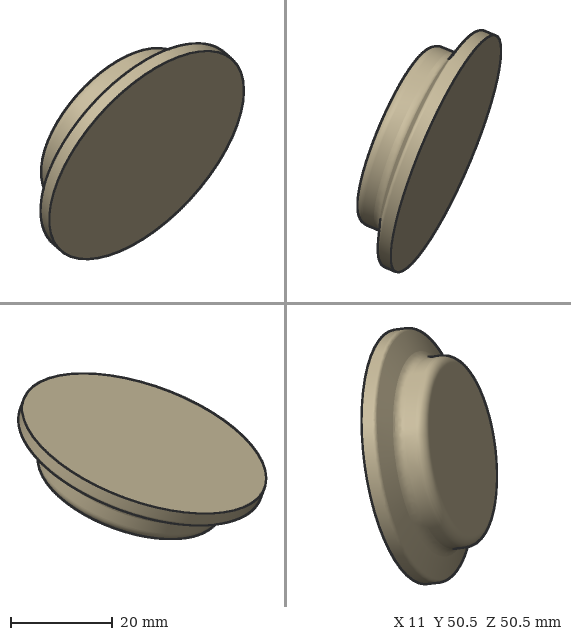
import cadquery as cq
import math

flange_diameter = 50.5
boss_diameter = 38.1
total_length = 11.0
rim_edge_length = 2.95
cone_angle = 20.0
boss_edge_radius = 2.0
boss_root_radius = 2.0
rim_edge_radius = 0.8
pick_margin = 0.05

flange_radius = flange_diameter / 2
boss_radius = boss_diameter / 2
cone_height = (flange_radius - boss_radius) * math.tan(math.radians(cone_angle))

front_x = -total_length / 2
back_x = total_length / 2
rim_corner_x = back_x - rim_edge_length
boss_root_x = rim_corner_x - cone_height

blank = (
    cq.Workplane("XY")
    .moveTo(front_x, 0)
    .lineTo(front_x, boss_radius)
    .lineTo(boss_root_x, boss_radius)
    .lineTo(rim_corner_x, flange_radius)
    .lineTo(back_x, flange_radius)
    .lineTo(back_x, 0)
    .close()
    .revolve(360, (0, 0, 0), (1, 0, 0))
)


def round_circle(body, edge_x, radius):
    """Round the circular edge whose centre lies at edge_x on the axis."""
    circle = cq.selectors.BoxSelector(
        (edge_x - pick_margin, -flange_diameter, -flange_diameter),
        (edge_x + pick_margin, flange_diameter, flange_diameter),
        boundingbox=True,
    )
    return body.edges(circle).fillet(radius)


result = round_circle(blank, front_x, boss_edge_radius)
result = round_circle(result, boss_root_x, boss_root_radius)
result = round_circle(result, rim_corner_x, rim_edge_radius)